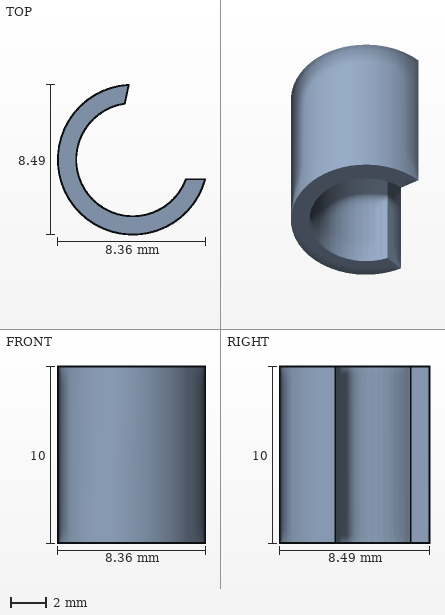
import cadquery as cq
import math

height = 10
outer_radius = 4.25
inner_radius = 3.2

opening_angle = 78
face_offset = 1.1

half_angle = math.radians(opening_angle / 2)
apex_distance = face_offset / math.sin(half_angle)
apex_x = -apex_distance * math.cos(half_angle)
apex_y = -face_offset
wedge_reach = 4 * outer_radius


def make_sleeve():
    return cq.Workplane("XY").circle(outer_radius).circle(inner_radius).extrude(height)


def make_opening():
    turn = math.radians(opening_angle)
    return (
        cq.Workplane("XY")
        .moveTo(apex_x, apex_y)
        .lineTo(apex_x + wedge_reach, apex_y)
        .lineTo(apex_x + wedge_reach * math.cos(turn), apex_y + wedge_reach * math.sin(turn))
        .close()
        .extrude(height)
    )


result = make_sleeve().cut(make_opening())